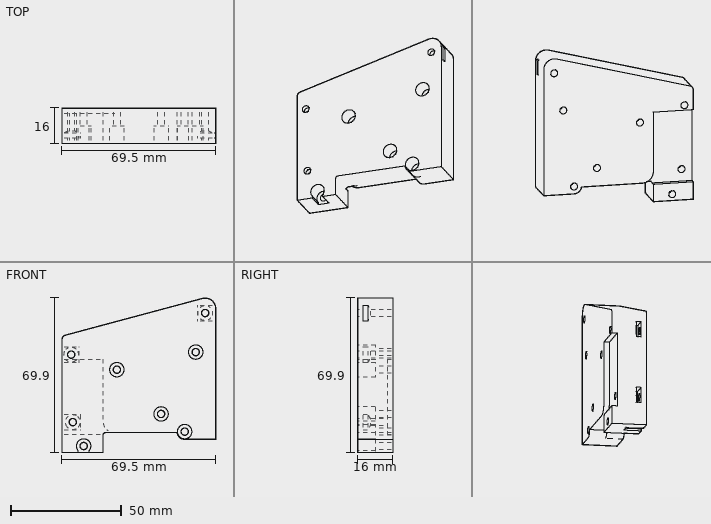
import cadquery as cq
import math

WIDTH = 69.55
THICKNESS = 16.0
HEIGHT = 69.9

SLOPE_ANGLE = math.radians(15.0)
LOW_CORNER_RADIUS = 2.0
HIGH_CORNER_RADIUS = 4.85
RIGHT_FOOT_Z = 6.0
NOTCH_LEFT_X = 18.6
NOTCH_TOP_Z = 9.0
NOTCH_CORNER_RADIUS = 1.0

HOLE_DIAMETER = 3.2
COUNTERBORE_DIAMETER = 6.5
COUNTERBORE_DEPTH = 8.0
FOOT_SCREW = (9.8, 3.0)
BOSS_SCREW = (55.45, 9.5)
INNER_SCREWS = [(24.8, 37.5), (44.8, 17.5), (60.45, 45.45)]
COUNTERBORED_SCREWS = [FOOT_SCREW, BOSS_SCREW] + INNER_SCREWS
BOSS_RADIUS = BOSS_SCREW[1] - RIGHT_FOOT_Z
FOOT_SLOT_WIDTH = 5.0

LEFT_NUT_SCREWS = [(4.15, 44.3), (4.9, 13.8)]
RIGHT_NUT_SCREW = (WIDTH - HIGH_CORNER_RADIUS, 63.1)
NUT_SCREWS = LEFT_NUT_SCREWS + [RIGHT_NUT_SCREW]
NUT_SLOT_HEIGHT = 7.0
NUT_SLOT_THICKNESS = 2.2
NUT_SLOT_Y = 2.5
NUT_SLOT_REACH = NUT_SLOT_HEIGHT / 2
NUT_CONE_DIAMETER = 6.7
NUT_CONE_DEPTH = 1.0

RECESS_DEPTH = 2.5
RECESS_BOTTOM_Z = 8.2
RECESS_TOP_Z = 42.0
RECESS_CORNER_RADIUS = 5.2


def extrude_back(sketch, start_y, length):
    """Extrude an XZ sketch toward +Y, starting at start_y."""
    return sketch.extrude(-length).translate((0, start_y, 0))


def box_between(x_range, y_range, z_range):
    """Box spanning the given (low, high) ranges."""
    lows, highs = zip(x_range, y_range, z_range)
    sizes = [high - low for low, high in zip(lows, highs)]
    return cq.Workplane("XY").box(*sizes, centered=False).translate(lows)


def cylinder_back(center, diameter, length):
    """Cylinder along +Y from the front face, centred at (x, z)."""
    return extrude_back(cq.Workplane("XZ").center(*center).circle(diameter / 2), 0, length)


def make_body():
    """Sloped plate with rounded upper corners and a notch in its lower edge."""
    sine, cosine = math.sin(SLOPE_ANGLE), math.cos(SLOPE_ANGLE)
    high_x = WIDTH - HIGH_CORNER_RADIUS
    high_z = HEIGHT - HIGH_CORNER_RADIUS
    slope_end = (high_x - HIGH_CORNER_RADIUS * sine, high_z + HIGH_CORNER_RADIUS * cosine)
    slope_at_left = slope_end[1] - slope_end[0] * math.tan(SLOPE_ANGLE)

    low_x = LOW_CORNER_RADIUS
    low_z = slope_at_left + low_x * math.tan(SLOPE_ANGLE) - LOW_CORNER_RADIUS / cosine
    slope_start = (low_x - LOW_CORNER_RADIUS * sine, low_z + LOW_CORNER_RADIUS * cosine)

    low_mid = (math.pi + math.pi / 2 + SLOPE_ANGLE) / 2
    high_mid = (math.pi / 2 + SLOPE_ANGLE) / 2
    low_mid_point = (
        low_x + LOW_CORNER_RADIUS * math.cos(low_mid),
        low_z + LOW_CORNER_RADIUS * math.sin(low_mid),
    )
    high_mid_point = (
        high_x + HIGH_CORNER_RADIUS * math.cos(high_mid),
        high_z + HIGH_CORNER_RADIUS * math.sin(high_mid),
    )

    boss_x, boss_z = BOSS_SCREW
    boss_start_x = boss_x - math.sqrt(BOSS_RADIUS**2 - (boss_z - NOTCH_TOP_Z) ** 2)
    boss_mid_offset = BOSS_RADIUS * math.sqrt(0.5)

    outline = (
        cq.Workplane("XZ")
        .moveTo(0, 0)
        .lineTo(NOTCH_LEFT_X, 0)
        .lineTo(NOTCH_LEFT_X, NOTCH_TOP_Z - NOTCH_CORNER_RADIUS)
        .radiusArc((NOTCH_LEFT_X + NOTCH_CORNER_RADIUS, NOTCH_TOP_Z), NOTCH_CORNER_RADIUS)
        .lineTo(boss_start_x, NOTCH_TOP_Z)
        .threePointArc((boss_x - boss_mid_offset, boss_z - boss_mid_offset), (boss_x, RIGHT_FOOT_Z))
        .lineTo(WIDTH, RIGHT_FOOT_Z)
        .lineTo(WIDTH, high_z)
        .threePointArc(high_mid_point, slope_end)
        .lineTo(*slope_start)
        .threePointArc(low_mid_point, (0, low_z))
        .close()
    )
    return extrude_back(outline, 0, THICKNESS)


def cut_screw_holes(body):
    """Through holes, the counterbored ones opened from the front face."""
    for center in COUNTERBORED_SCREWS + NUT_SCREWS:
        body = body.cut(cylinder_back(center, HOLE_DIAMETER, THICKNESS))
    for center in COUNTERBORED_SCREWS:
        body = body.cut(cylinder_back(center, COUNTERBORE_DIAMETER, COUNTERBORE_DEPTH))
    return body


def cut_foot_slot(body):
    """Slot that opens the foot counterbore through the bottom edge."""
    foot_x, foot_z = FOOT_SCREW
    slot = box_between(
        (foot_x - FOOT_SLOT_WIDTH / 2, foot_x + FOOT_SLOT_WIDTH / 2),
        (0, COUNTERBORE_DEPTH),
        (0, foot_z),
    )
    return body.cut(slot)


def cut_nut_slot(body, x_range, center_z):
    """Flat slot for one captive nut."""
    slot = box_between(
        x_range,
        (NUT_SLOT_Y, NUT_SLOT_Y + NUT_SLOT_THICKNESS),
        (center_z - NUT_SLOT_HEIGHT / 2, center_z + NUT_SLOT_HEIGHT / 2),
    )
    return body.cut(slot)


def cut_nut_cone(body, center):
    """Cone narrowing from the rear wall of a nut slot to the screw hole."""
    cone = cq.Solid.makeCone(
        NUT_CONE_DIAMETER / 2,
        HOLE_DIAMETER / 2,
        NUT_CONE_DEPTH,
        cq.Vector(center[0], NUT_SLOT_Y + NUT_SLOT_THICKNESS, center[1]),
        cq.Vector(0, 1, 0),
    )
    return body.cut(cq.Workplane(cone))


def cut_nut_slots(body):
    """Two nut slots from the left side and one from the right side, each with its cone."""
    for hole_x, hole_z in LEFT_NUT_SCREWS:
        body = cut_nut_slot(body, (0, hole_x + NUT_SLOT_REACH), hole_z)
    hole_x, hole_z = RIGHT_NUT_SCREW
    body = cut_nut_slot(body, (hole_x - NUT_SLOT_REACH, WIDTH), hole_z)
    for center in NUT_SCREWS:
        body = cut_nut_cone(body, center)
    return body


def cut_back_recess(body):
    """Shallow recess whose end wall curves into the top of the notch."""
    curve_end_x = NOTCH_LEFT_X + RECESS_CORNER_RADIUS
    outline = (
        cq.Workplane("XZ")
        .moveTo(0, RECESS_BOTTOM_Z)
        .lineTo(curve_end_x, RECESS_BOTTOM_Z)
        .lineTo(curve_end_x, NOTCH_TOP_Z)
        .radiusArc((NOTCH_LEFT_X, NOTCH_TOP_Z + RECESS_CORNER_RADIUS), RECESS_CORNER_RADIUS)
        .lineTo(NOTCH_LEFT_X, RECESS_TOP_Z)
        .lineTo(0, RECESS_TOP_Z)
        .close()
    )
    return body.cut(extrude_back(outline, THICKNESS - RECESS_DEPTH, RECESS_DEPTH))


body = make_body()
body = cut_screw_holes(body)
body = cut_foot_slot(body)
body = cut_nut_slots(body)
result = cut_back_recess(body)